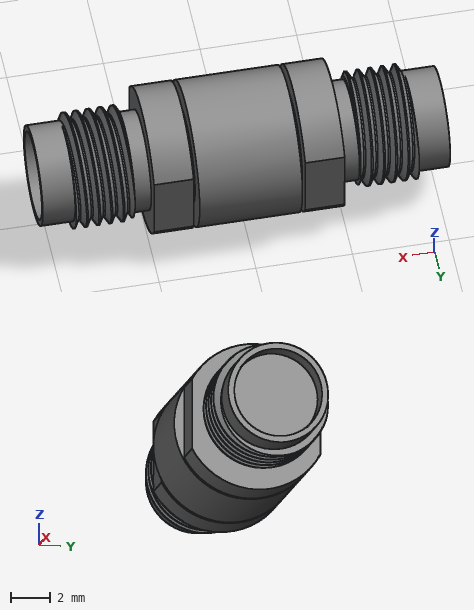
import cadquery as cq

length = 21.08
half_length = length / 2
core_radius = 2.6

sleeve_radius = 3.8
sleeve_length = 5.31
collar_length = 2.05
across_flats = 6.66
neck_radius = 2.55
neck_gap = 0.23

bore_radius = 2.28
bore_depth = 1.18

thread_start = 1.67
thread_length = 3.04
thread_pitch = 0.63
thread_crest_radius = 2.97
crest_width = 0.08
root_width = 0.61
root_embed = 0.06
first_crest = 1.75

collar_inner_x = -sleeve_length / 2 - neck_gap
collar_outer_x = collar_inner_x - collar_length


def cylinder_x(start, end, radius):
    """Solid cylinder about the X axis from start to end."""
    return cq.Workplane("YZ").workplane(offset=start).circle(radius).extrude(end - start)


def wrench_collar():
    """Round collar with two opposite flats facing -Y and +Y."""
    flats = cq.Workplane("XY").box(length, across_flats, 2 * sleeve_radius)
    return cylinder_x(collar_outer_x, collar_inner_x, sleeve_radius).intersect(flats)


def thread_ridge():
    """Helical ridge at the -X end, trimmed square where the thread begins and ends."""
    root_radius = core_radius - root_embed
    turns = thread_length // thread_pitch + 3
    path = cq.Wire.makeHelix(thread_pitch, turns * thread_pitch, root_radius, lefthand=True)
    ridge = (
        cq.Workplane("XZ")
        .polyline([
            (root_radius, -root_width / 2),
            (thread_crest_radius, -crest_width / 2),
            (thread_crest_radius, crest_width / 2),
            (root_radius, root_width / 2),
        ])
        .close()
        .sweep(cq.Workplane(path), isFrenet=True)
    )
    ridge = ridge.rotate((0, 0, 0), (0, 1, 0), 90)
    ridge = ridge.translate((-half_length + first_crest - thread_pitch, 0, 0))
    start = -half_length + thread_start
    return ridge.intersect(cylinder_x(start, start + thread_length, sleeve_radius))


def connector_end():
    """Bored, threaded barrel with its wrench collar, at the -X end."""
    barrel = cylinder_x(-half_length, collar_inner_x, core_radius)
    barrel = barrel.union(thread_ridge()).union(wrench_collar())
    return barrel.cut(cylinder_x(-half_length, -half_length + bore_depth, bore_radius))


end = connector_end()
neck = cylinder_x(collar_inner_x, -collar_inner_x, neck_radius)
sleeve = cylinder_x(-sleeve_length / 2, sleeve_length / 2, sleeve_radius)

result = neck.union(sleeve).union(end).union(end.mirror("YZ"))